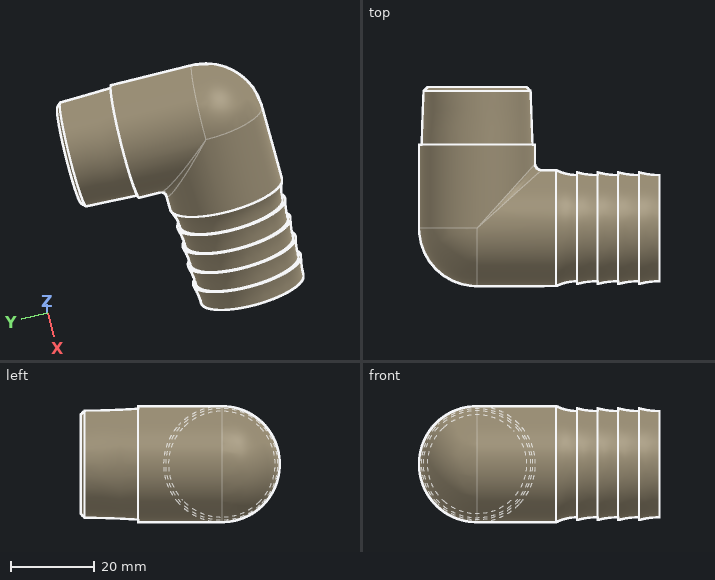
import cadquery as cq

overall_x = 58.0
overall_y = 48.0
body_radius = 28.0 / 2
hose_end = overall_x - body_radius
spigot_end = overall_y - body_radius
inner_corner_fillet = 1.5

barb_pitch = 5.0
barb_count = 4
barb_crest_radius = 26.95 / 2
barb_root_radius = 25.65 / 2
hose_shoulder = hose_end - (barb_count + 1) * barb_pitch
barb_sag = 0.2
neck_sag = 0.3

spigot_shoulder = 20.1
spigot_base_radius = 26.8 / 2
spigot_tip_radius = 25.85 / 2
tip_chamfer = 1.0


def make_body():
    """Two crossing pipes with a rounded outer corner and a filleted inner corner."""
    hose_pipe = cq.Workplane("YZ").circle(body_radius).extrude(hose_shoulder)
    spigot_pipe = cq.Workplane("XZ").circle(body_radius).extrude(-spigot_shoulder)
    corner_ball = cq.Workplane("XY").sphere(body_radius)
    pipes = hose_pipe.union(spigot_pipe)
    corner_offset = 0.7 * body_radius
    inner_edge = cq.selectors.NearestToPointSelector((corner_offset, corner_offset, corner_offset))
    return pipes.edges(inner_edge).fillet(inner_corner_fillet).union(corner_ball)


def add_flank(profile, start, start_radius, sag):
    """Concave flank falling to the barb root over one pitch."""
    middle = (start + barb_pitch / 2, (start_radius + barb_root_radius) / 2 - sag)
    return profile.threePointArc(middle, (start + barb_pitch, barb_root_radius))


def make_hose_tail():
    """Neck and saw-tooth barbs revolved about the X axis."""
    profile = cq.Workplane("XY").moveTo(hose_shoulder, 0).lineTo(hose_shoulder, body_radius)
    profile = add_flank(profile, hose_shoulder, body_radius, neck_sag)
    for barb in range(1, barb_count + 1):
        barb_start = hose_shoulder + barb * barb_pitch
        profile = profile.lineTo(barb_start, barb_crest_radius)
        profile = add_flank(profile, barb_start, barb_crest_radius, barb_sag)
    return profile.lineTo(hose_end, 0).close().revolve(360, (0, 0, 0), (1, 0, 0))


def make_spigot():
    """Tapered plug with a chamfered tip, revolved about the Y axis."""
    profile = cq.Workplane("XY").polyline([
        (0, spigot_shoulder),
        (spigot_base_radius, spigot_shoulder),
        (spigot_tip_radius, spigot_end - tip_chamfer),
        (spigot_tip_radius - tip_chamfer, spigot_end),
        (0, spigot_end),
    ]).close()
    return profile.revolve(360, (0, 0, 0), (0, 1, 0))


result = make_body().union(make_hose_tail()).union(make_spigot())